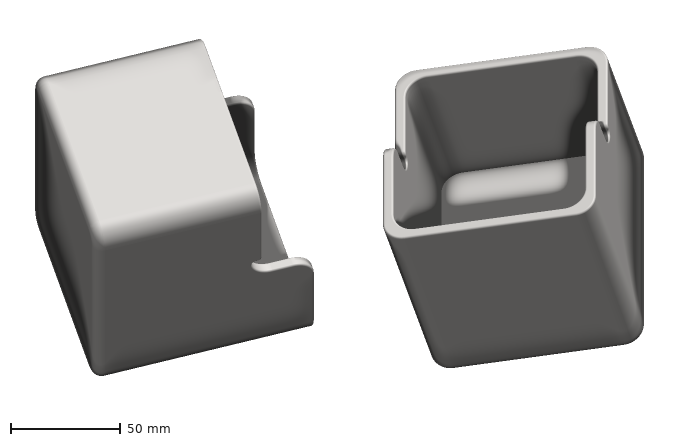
import cadquery as cq
import math

WIDTH = 100.0
DEPTH = 105.0
HEIGHT = 115.0

CORNER_RADIUS = 10.0
WALL = CORNER_RADIUS / 2
FRONT_RADIUS = WALL
LIP_RADIUS = 1.0

ROOF_DEPTH = 80.0
LEDGE_HEIGHT = HEIGHT / 2
LEDGE_RADIUS = 10.0
NOTCH_RADIUS = 10.0
NOTCH_ARC_DEPTH = DEPTH - 2 * LEDGE_RADIUS
NOTCH_TOP = LEDGE_HEIGHT + NOTCH_RADIUS
NOTCH_TOP_RADIUS = 2 * LIP_RADIUS
ROOF_CORNER_RADIUS = 2 * LIP_RADIUS

PAST_END = 11.5


def rounded_bar(width, height, start, end, radius):
    """Bar along Y with rounded long edges, centred on X and on the mid-height."""
    return (
        cq.Workplane("XY")
        .box(width, end - start, height)
        .edges("|Y")
        .fillet(radius)
        .translate((0, (start + end) / 2, HEIGHT / 2))
    )


def open_end_cutter():
    """Body above the ledge and behind the roof, with the notch, spanning the full width."""
    small_z = NOTCH_TOP - NOTCH_TOP_RADIUS
    centre_gap = NOTCH_RADIUS - NOTCH_TOP_RADIUS
    small_y = NOTCH_ARC_DEPTH - math.sqrt(centre_gap**2 - NOTCH_TOP_RADIUS**2)
    touch_dir_y = (small_y - NOTCH_ARC_DEPTH) / centre_gap
    touch_dir_z = (small_z - NOTCH_TOP) / centre_gap
    touch = (
        NOTCH_ARC_DEPTH + NOTCH_RADIUS * touch_dir_y,
        NOTCH_TOP + NOTCH_RADIUS * touch_dir_z,
    )

    far_y = DEPTH + PAST_END
    far_z = HEIGHT + PAST_END
    return (
        cq.Workplane("YZ")
        .moveTo(far_y, far_z)
        .lineTo(ROOF_DEPTH, far_z)
        .lineTo(ROOF_DEPTH, NOTCH_TOP + ROOF_CORNER_RADIUS)
        .radiusArc((ROOF_DEPTH - ROOF_CORNER_RADIUS, NOTCH_TOP), ROOF_CORNER_RADIUS)
        .lineTo(small_y, NOTCH_TOP)
        .tangentArcPoint(touch, relative=False)
        .tangentArcPoint((NOTCH_ARC_DEPTH, LEDGE_HEIGHT), relative=False)
        .lineTo(DEPTH - LEDGE_RADIUS, LEDGE_HEIGHT)
        .tangentArcPoint((DEPTH, LEDGE_HEIGHT - LEDGE_RADIUS), relative=False)
        .lineTo(far_y, LEDGE_HEIGHT - LEDGE_RADIUS)
        .close()
        .extrude(WIDTH / 2 + PAST_END, both=True)
    )


body = rounded_bar(WIDTH, HEIGHT, 0, DEPTH, CORNER_RADIUS).faces("<Y").edges().fillet(FRONT_RADIUS)

cavity = rounded_bar(WIDTH - 2 * WALL, HEIGHT - 2 * WALL, WALL, DEPTH + PAST_END, CORNER_RADIUS)
shell = body.cut(cavity).cut(open_end_cutter())

result = shell.faces(">Y").edges("|X").fillet(LIP_RADIUS)